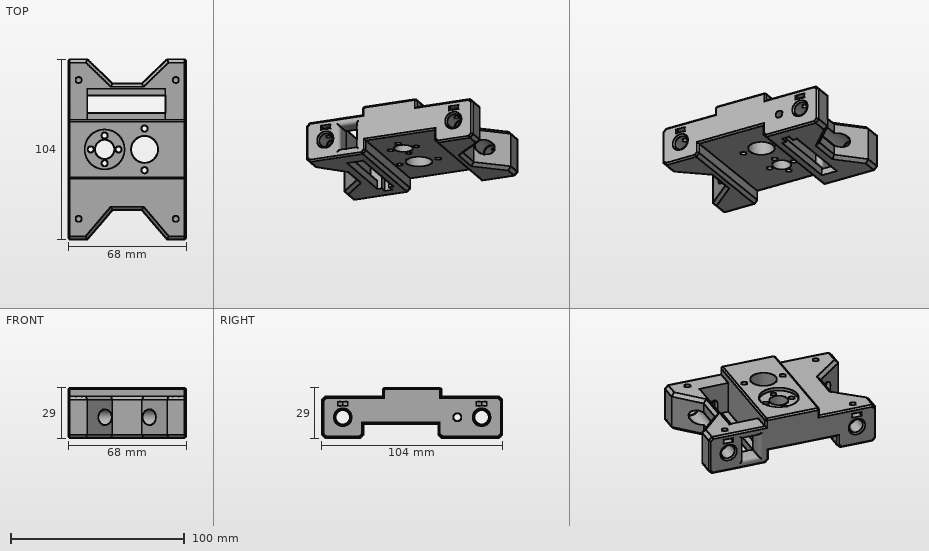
import cadquery as cq
import math

LENGTH_X = 68.0
LENGTH_Y = 104.0
PLATE_TOP = 24.0
HALF_X = LENGTH_X / 2
HALF_Y = LENGTH_Y / 2

BLOCK_TOP = 29.0
BLOCK_HALF_Y = 17.0

RECESS_TOP = 8.0
RECESS_BACK_Y = 15.0
RECESS_FRONT_Y = -28.0

NOTCH_MOUTH_HALF = 23.0
NOTCH_FLOOR_HALF = 8.5
NOTCH_FLOOR_BACK_Y = 38.0
NOTCH_FLOOR_FRONT_Y = -35.0

END_CHAMFER = 2.0
BLOCK_CHAMFER = 1.0
SIDE_CHAMFER = 1.0

ROD_Y = 40.0
ROD_Z = 12.0
ROD_GRIP_DIA = 8.3
ROD_CLEARANCE_DIA = 9.0
ROD_MOUTH_CHAMFER = 1.0
SCREW_DIA = 3.5
SCREW_X = 28.0
NUT_ACROSS_FLATS = 6.0
NUT_SLOT_BOTTOM = 18.5
NUT_SLOT_HEIGHT = 2.5
NUT_ACROSS_CORNERS = NUT_ACROSS_FLATS / math.cos(math.radians(30))
GRIP_INNER_X = 2 * SCREW_X - HALF_X

WINDOW_MIN_X = -23.0
WINDOW_MAX_X = 22.0
WINDOW_Y = 26.0
WINDOW_UPPER_WIDTH = 18.0
WINDOW_LOWER_WIDTH = 10.0
LEDGE_Z = 5.0
TUNNEL_BOTTOM = 5.0
TUNNEL_TOP = 19.0
TUNNEL_END_RADIUS = 2.0

BOLT_DIA = 4.5
BOLT_Z = 12.0
BOLT_SLOT_DEPTH = BOLT_DIA

FLANGE_X = -13.0
FLANGE_DIA = 23.0
FLANGE_DEPTH = 2.0
FLANGE_BORE_DIA = 11.0
FLANGE_SCREW_DIA = 3.4
FLANGE_SCREW_RADIUS = 8.0

LARGE_BORE_X = 10.0
LARGE_BORE_DIA = 15.4
LARGE_BORE_SCREW_Y = 12.0


def box(x_min, x_max, y_min, y_max, z_min, z_max):
    """Axis-aligned box between the given limits."""
    size = (x_max - x_min, y_max - y_min, z_max - z_min)
    return cq.Workplane("XY").box(*size, centered=False).translate((x_min, y_min, z_min))


def x_cylinder(diameter, y, z, x_min, x_max):
    """Cylinder along X."""
    return (
        cq.Workplane("YZ", origin=(x_min, y, z))
        .circle(diameter / 2)
        .extrude(x_max - x_min)
    )


def z_cylinder(diameter, x, y, z_min, z_max):
    """Cylinder along Z."""
    return (
        cq.Workplane("XY", origin=(x, y, z_min))
        .circle(diameter / 2)
        .extrude(z_max - z_min)
    )


def end_notch(floor_y, end_y):
    """Trapezoidal prism that narrows from the end of the plate to the notch floor."""
    return (
        cq.Workplane("XY")
        .polyline([
            (-NOTCH_MOUTH_HALF, end_y),
            (-NOTCH_FLOOR_HALF, floor_y),
            (NOTCH_FLOOR_HALF, floor_y),
            (NOTCH_MOUTH_HALF, end_y),
        ])
        .close()
        .extrude(PLATE_TOP)
    )


def make_body():
    """Notched plate on two feet with the block on top, and all outer edges chamfered."""
    plate = box(-HALF_X, HALF_X, -HALF_Y, HALF_Y, 0, PLATE_TOP)
    plate = plate.cut(end_notch(NOTCH_FLOOR_BACK_Y, HALF_Y))
    plate = plate.cut(end_notch(NOTCH_FLOOR_FRONT_Y, -HALF_Y))
    plate = plate.cut(box(-HALF_X, HALF_X, RECESS_FRONT_Y, RECESS_BACK_Y, 0, RECESS_TOP))
    plate = plate.faces(">Z or <Z").edges("not |Y").chamfer(END_CHAMFER)

    block = box(-HALF_X, HALF_X, -BLOCK_HALF_Y, BLOCK_HALF_Y, PLATE_TOP, BLOCK_TOP)
    body = plate.union(block)
    body = body.faces(">Z").edges("|X").chamfer(BLOCK_CHAMFER)
    return body.faces("<X or >X").edges().chamfer(SIDE_CHAMFER)


def round_tunnel_end(body, x):
    """Round the four edges of the tunnel's opening at the given X."""
    reach = WINDOW_LOWER_WIDTH / 2 + TUNNEL_END_RADIUS
    opening = cq.selectors.BoxSelector(
        (x - SIDE_CHAMFER, WINDOW_Y - reach, TUNNEL_BOTTOM - SIDE_CHAMFER),
        (x + SIDE_CHAMFER, WINDOW_Y + reach, TUNNEL_TOP + SIDE_CHAMFER),
    )
    return body.edges("not |X").edges(opening).fillet(TUNNEL_END_RADIUS)


def cut_window_and_tunnel(body):
    """Window narrowed by two ledges at its bottom, and the tunnel from the -X side."""
    half_upper = WINDOW_UPPER_WIDTH / 2
    half_lower = WINDOW_LOWER_WIDTH / 2
    window = box(
        WINDOW_MIN_X, WINDOW_MAX_X,
        WINDOW_Y - half_upper, WINDOW_Y + half_upper,
        0, PLATE_TOP,
    )
    tunnel = box(
        -HALF_X, WINDOW_MIN_X,
        WINDOW_Y - half_lower, WINDOW_Y + half_lower,
        TUNNEL_BOTTOM, TUNNEL_TOP,
    )
    body = body.cut(window).cut(tunnel)
    for x in (-HALF_X, WINDOW_MIN_X):
        body = round_tunnel_end(body, x)

    ledge_start = WINDOW_MIN_X - TUNNEL_END_RADIUS
    for near, far in ((-half_upper, -half_lower), (half_lower, half_upper)):
        ledge = box(ledge_start, WINDOW_MAX_X, WINDOW_Y + near, WINDOW_Y + far, 0, LEDGE_Z)
        body = body.union(ledge)
    return body


def cut_bolt_hole(body):
    """Bolt hole through the +X wall and the slot below it on the wall's inner side."""
    radius = BOLT_DIA / 2
    slot_end = WINDOW_MAX_X + BOLT_SLOT_DEPTH
    body = body.cut(x_cylinder(BOLT_DIA, WINDOW_Y, BOLT_Z, WINDOW_MAX_X, HALF_X))
    return body.cut(box(WINDOW_MAX_X, slot_end, WINDOW_Y - radius, WINDOW_Y + radius, 0, BOLT_Z))


def cut_rod_bore(body, y):
    """Rod bore along X that grips at both ends and is chamfered at both mouths."""
    body = body.cut(x_cylinder(ROD_GRIP_DIA, y, ROD_Z, -HALF_X, HALF_X))
    body = body.cut(x_cylinder(ROD_CLEARANCE_DIA, y, ROD_Z, -GRIP_INNER_X, GRIP_INNER_X))
    for side in (-1, 1):
        mouth = cq.Solid.makeCone(
            ROD_GRIP_DIA / 2 + ROD_MOUTH_CHAMFER,
            ROD_GRIP_DIA / 2,
            ROD_MOUTH_CHAMFER,
            pnt=cq.Vector(side * HALF_X, y, ROD_Z),
            dir=cq.Vector(-side, 0, 0),
        )
        body = body.cut(cq.Workplane(mouth))
    return body


def cut_rod_clamp(body, side, y):
    """Screw hole down into a rod bore and the nut slot open to the nearer X side."""
    x = side * SCREW_X
    body = body.cut(z_cylinder(SCREW_DIA, x, y, ROD_Z, PLATE_TOP))
    nut = (
        cq.Workplane("XY", origin=(x, y, NUT_SLOT_BOTTOM))
        .polygon(6, NUT_ACROSS_CORNERS)
        .extrude(NUT_SLOT_HEIGHT)
    )
    entry = box(
        min(x, side * HALF_X), max(x, side * HALF_X),
        y - NUT_ACROSS_FLATS / 2, y + NUT_ACROSS_FLATS / 2,
        NUT_SLOT_BOTTOM, NUT_SLOT_BOTTOM + NUT_SLOT_HEIGHT,
    )
    return body.cut(nut).cut(entry)


def cut_flange_mount(body):
    """Shallow round seat with a central bore and four screw holes."""
    body = body.cut(z_cylinder(FLANGE_DIA, FLANGE_X, 0, BLOCK_TOP - FLANGE_DEPTH, BLOCK_TOP))
    body = body.cut(z_cylinder(FLANGE_BORE_DIA, FLANGE_X, 0, 0, BLOCK_TOP))
    for dx, dy in ((1, 0), (0, 1), (-1, 0), (0, -1)):
        x = FLANGE_X + FLANGE_SCREW_RADIUS * dx
        y = FLANGE_SCREW_RADIUS * dy
        body = body.cut(z_cylinder(FLANGE_SCREW_DIA, x, y, 0, BLOCK_TOP))
    return body


def cut_large_bore(body):
    """Large through bore with a screw hole in front of it and one behind it."""
    body = body.cut(z_cylinder(LARGE_BORE_DIA, LARGE_BORE_X, 0, 0, BLOCK_TOP))
    for y in (-LARGE_BORE_SCREW_Y, LARGE_BORE_SCREW_Y):
        body = body.cut(z_cylinder(SCREW_DIA, LARGE_BORE_X, y, 0, BLOCK_TOP))
    return body


part = make_body()
part = cut_window_and_tunnel(part)
part = cut_bolt_hole(part)
for rod_y in (-ROD_Y, ROD_Y):
    part = cut_rod_bore(part, rod_y)
    for x_side in (-1, 1):
        part = cut_rod_clamp(part, x_side, rod_y)
part = cut_flange_mount(part)
part = cut_large_bore(part)
result = part